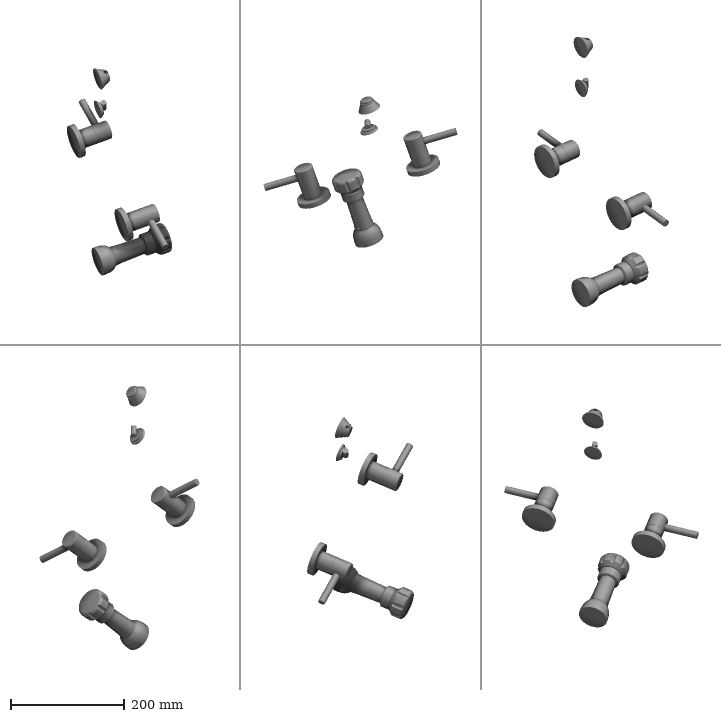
import cadquery as cq
import math


VALVE_Z = 228.0
DIVERTER_Z = 444.5
CONE_Z = 533.5

VALVE_X = 101.5
VALVE_FLANGE_RADIUS = 30.0
VALVE_FLANGE_THICKNESS = 9.0
VALVE_RADIUS = 17.0
VALVE_LENGTH = 67.5
VALVE_END_CHAMFER = 1.0
JOINT_Y = 38.0
JOINT_WIDTH = 0.5
JOINT_DEPTH = 0.5
LEVER_Y = 50.5
LEVER_RADIUS = 6.5
SET_WIDTH = 356.0
LEVER_REACH = SET_WIDTH / 2 - VALVE_X

SPRAY_LENGTH = 136.0
BASE_RADIUS = 26.0
BASE_RIM = 7.5
BELL_FOOT_RADIUS = 25.5
BELL_TOP_Y = 28.5
BELL_MID_Y = 20.0
BELL_MID_RADIUS = 24.0
BAND_RADIUS = 17.5
BAND_TOP_Y = 33.5
SHAFT_FOOT_RADIUS = 17.0
SHAFT_TOP_RADIUS = 15.0
COLLAR_Y = 87.5
COLLAR_DIAMETER = 40.0
COLLAR_RADIUS = COLLAR_DIAMETER / 2
COLLAR_CHAMFER = 2.0
COLLAR_TOP_Y = 105.5

HEAD_RADIUS = 27.0
HEAD_Y = 114.0
HEAD_ROUND_Y = 128.5
HEAD_ROUND = 6.0
HEAD_DOME = SPRAY_LENGTH - HEAD_ROUND_Y - HEAD_ROUND
FLUTE_COUNT = 8
FLUTE_RADIUS = 4.5
FLUTE_AXIS_RADIUS = 29.0

DIVERTER_DIAMETER = 33.0
DIVERTER_RADIUS = DIVERTER_DIAMETER / 2
DIVERTER_PLATE_RADIUS = 15.0
DIVERTER_PLATE_Y = 3.0
DIVERTER_HUB_RADIUS = 12.0
DIVERTER_HUB_Y = 6.5
KNOB_RADIUS = 5.0
KNOB_Y = 11.0
KNOB_BOTTOM = -4.5
KNOB_TOP = 14.5
KNOB_CHAMFER = 2.0

CONE_DIAMETER = 40.0
CONE_RADIUS = CONE_DIAMETER / 2
CONE_TOP_RADIUS = 13.0
CONE_TOP_Y = 13.5
CONE_LIP_Y = 15.0
NECK_RADIUS = 11.0
NECK_END_Y = 20.0
NECK_CHAMFER = 1.0
HOLE_RADIUS = 4.0
HOLE_Y = 15.0
HOLE_FLOOR = 6.0


def turned(outline):
    """Spin a closed radius-by-Y outline around the Y axis."""
    return outline.close().revolve(360, (0, 0, 0), (0, 1, 0))


def rod_along_y(radius, start, end):
    """A round bar on the Y axis."""
    return cq.Workplane("XZ", origin=(0, start, 0)).circle(radius).extrude(start - end)


def lever_valve(side):
    """One valve with its lever pointing away from the middle; side is -1 or +1."""
    flange = rod_along_y(VALVE_FLANGE_RADIUS, 0, VALVE_FLANGE_THICKNESS)
    barrel = rod_along_y(VALVE_RADIUS, 0, VALVE_LENGTH).faces(">Y").chamfer(VALVE_END_CHAMFER)
    joint_start = JOINT_Y - JOINT_WIDTH / 2
    joint_end = JOINT_Y + JOINT_WIDTH / 2
    joint = rod_along_y(VALVE_RADIUS, joint_start, joint_end).cut(
        rod_along_y(VALVE_RADIUS - JOINT_DEPTH, joint_start, joint_end)
    )
    lever = cq.Workplane("YZ").center(LEVER_Y, 0).circle(LEVER_RADIUS).extrude(side * LEVER_REACH)
    valve = flange.union(barrel).cut(joint).union(lever)
    return valve.translate((side * VALVE_X, 0, VALVE_Z))


def spray_blank():
    """The turned shape of the spray before its head is fluted."""
    round_offset = HEAD_ROUND * (1 - math.sqrt(0.5))
    outline = (
        cq.Workplane("XY")
        .lineTo(BASE_RADIUS, 0)
        .lineTo(BASE_RADIUS, BASE_RIM)
        .lineTo(BELL_FOOT_RADIUS, BASE_RIM)
        .threePointArc((BELL_MID_RADIUS, BELL_MID_Y), (BAND_RADIUS, BELL_TOP_Y))
        .lineTo(BAND_RADIUS, BAND_TOP_Y)
        .lineTo(SHAFT_FOOT_RADIUS, BAND_TOP_Y)
        .lineTo(SHAFT_TOP_RADIUS, COLLAR_Y)
        .lineTo(COLLAR_RADIUS - COLLAR_CHAMFER, COLLAR_Y)
        .lineTo(COLLAR_RADIUS, COLLAR_Y + COLLAR_CHAMFER)
        .lineTo(COLLAR_RADIUS, COLLAR_TOP_Y - COLLAR_CHAMFER)
        .lineTo(COLLAR_RADIUS - COLLAR_CHAMFER, COLLAR_TOP_Y)
        .lineTo(COLLAR_RADIUS, COLLAR_TOP_Y)
        .lineTo(HEAD_RADIUS, HEAD_Y)
        .lineTo(HEAD_RADIUS, HEAD_ROUND_Y)
        .threePointArc(
            (HEAD_RADIUS - round_offset, HEAD_ROUND_Y + HEAD_ROUND - round_offset),
            (HEAD_RADIUS - HEAD_ROUND, HEAD_ROUND_Y + HEAD_ROUND),
        )
    )
    cap_radius = HEAD_RADIUS - HEAD_ROUND
    sphere_radius = (cap_radius**2 + HEAD_DOME**2) / (2 * HEAD_DOME)
    mid_radius = cap_radius / 2
    mid_drop = sphere_radius - math.sqrt(sphere_radius**2 - mid_radius**2)
    outline = outline.threePointArc((mid_radius, SPRAY_LENGTH - mid_drop), (0, SPRAY_LENGTH))
    return turned(outline)


def side_spray():
    """The hand spray with evenly spaced grip flutes around its head."""
    spray = spray_blank()
    flute = rod_along_y(FLUTE_RADIUS, COLLAR_TOP_Y, SPRAY_LENGTH).translate((FLUTE_AXIS_RADIUS, 0, 0))
    for index in range(FLUTE_COUNT):
        angle = index * 360 / FLUTE_COUNT
        spray = spray.cut(flute.rotate((0, 0, 0), (0, 1, 0), angle))
    return spray


def diverter():
    """The stepped rosette and its upright knob."""
    rosette = turned(
        cq.Workplane("XY")
        .lineTo(DIVERTER_RADIUS, 0)
        .lineTo(DIVERTER_PLATE_RADIUS, DIVERTER_PLATE_Y)
        .lineTo(DIVERTER_HUB_RADIUS, DIVERTER_PLATE_Y)
        .lineTo(DIVERTER_HUB_RADIUS, DIVERTER_HUB_Y)
        .lineTo(0, DIVERTER_HUB_Y)
    )
    knob = (
        cq.Workplane("XY", origin=(0, KNOB_Y, KNOB_BOTTOM))
        .circle(KNOB_RADIUS)
        .extrude(KNOB_TOP - KNOB_BOTTOM)
        .faces("<Z")
        .chamfer(KNOB_CHAMFER)
    )
    return rosette.union(knob).translate((0, 0, DIVERTER_Z))


def cone_outlet():
    """The flared rosette, its neck and a small hole in its upper side."""
    cone = turned(
        cq.Workplane("XY")
        .lineTo(CONE_RADIUS, 0)
        .lineTo(CONE_TOP_RADIUS, CONE_TOP_Y)
        .lineTo(CONE_TOP_RADIUS, CONE_LIP_Y)
        .lineTo(NECK_RADIUS, CONE_LIP_Y)
        .lineTo(NECK_RADIUS, NECK_END_Y - NECK_CHAMFER)
        .lineTo(NECK_RADIUS - NECK_CHAMFER, NECK_END_Y)
        .lineTo(0, NECK_END_Y)
    )
    hole = cq.Workplane("XY", origin=(0, HOLE_Y, HOLE_FLOOR)).circle(HOLE_RADIUS).extrude(CONE_RADIUS)
    return cone.cut(hole).translate((0, 0, CONE_Z))


valves = [lever_valve(side) for side in (-1, 1)]
spray_body = side_spray()
diverter_body = diverter()
cone_body = cone_outlet()

result = cq.Compound.makeCompound(
    [*[valve.val() for valve in valves], spray_body.val(), diverter_body.val(), cone_body.val()]
)